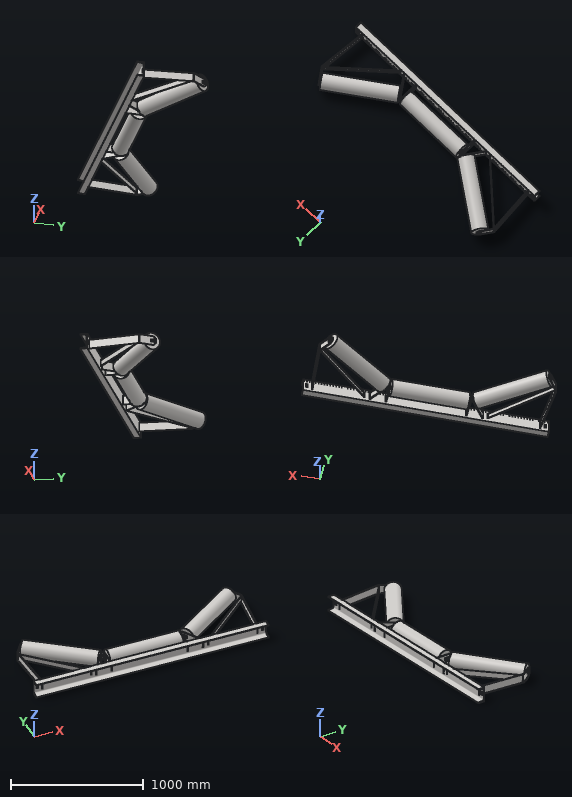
import cadquery as cq
import math


beam_length = 1900.0
beam_height = 120.0
flange_width = 55.0
web_thickness = 7.0
flange_thickness = 9.0
flange_slope = 0.08
root_radius = 9.0
tip_radius = 4.5
slot_width = 15.0
slot_height = 27.0
slot_end_distance = 28.0

roller_diameter = 133.0
roller_length = 597.0
shaft_diameter = 25.0
shaft_flats = 17.0
trough_angle = 35.0
level_center = (0.0, 118.0)
wing_center = (-600.0, 304.0)

plate_thickness = 6.6
plate_width = 70.0
level_gap = 10.0
wing_gap = 8.0
outer_tip_height = 30.0
outer_bend_depth = 106.0
outer_bend_radius = 10.0
outer_foot_x = -884.0
outer_tip_chamfer = 23.0
bridge_height = 160.0
bridge_bend_radius = 2.0

brace_thickness = 4.8
brace_width = 50.0
brace_foot_x = -477.0

trim_overrun = 19.0

roller_end = roller_length / 2
level_near = roller_end + level_gap
level_far = level_near + plate_thickness
wing_near = roller_end + wing_gap
wing_far = wing_near + plate_thickness

shaft_bottom = -shaft_diameter / 2
slot_top = roller_diameter / 2

tilt = math.radians(trough_angle)


def wing_point(along, across):
    """XY point beside the left wing roller: along its axis toward the middle, across it away from the beam."""
    x = wing_center[0] + along * math.cos(tilt) + across * math.sin(tilt)
    y = wing_center[1] - along * math.sin(tilt) + across * math.cos(tilt)
    return (x, y)


def prism(points, width):
    """XY outline extruded evenly to both sides of Z = 0."""
    return cq.Workplane("XY", origin=(0, 0, -width / 2)).polyline(points).close().extrude(width)


def mitred_offset(path, distance):
    """Path moved to its right by a distance, with its corners kept sharp."""
    normals = []
    for (x0, y0), (x1, y1) in zip(path, path[1:]):
        length = math.hypot(x1 - x0, y1 - y0)
        normals.append(((y1 - y0) / length, (x0 - x1) / length))
    moved = []
    for i, (x, y) in enumerate(path):
        before = normals[max(i - 1, 0)]
        after = normals[min(i, len(normals) - 1)]
        reach = distance / (1 + before[0] * after[0] + before[1] * after[1])
        moved.append((x + reach * (before[0] + after[0]), y + reach * (before[1] + after[1])))
    return moved


def trim_at_beam(body):
    """Remove what lies below the back of the beam web."""
    below = cq.Workplane("XY").box(beam_length, 2 * trim_overrun, beam_height, centered=(True, False, True))
    return body.cut(below.translate((0, -2 * trim_overrun, 0)))


def bent_plate(path, bend_radius):
    """Plate on the right of its outer path, with rounded bends, standing on the beam."""
    inside = mitred_offset(path, plate_thickness)
    plate = prism(path + inside[::-1], plate_width)
    for corners, radius in ((path, bend_radius + plate_thickness), (inside, bend_radius)):
        for x, y in corners[1:-1]:
            plate = plate.edges(cq.selectors.NearestToPointSelector((x, y, 0))).fillet(radius)
    return trim_at_beam(plate)


def make_beam():
    half_height = beam_height / 2
    half_rise = flange_slope * flange_width / 2
    tip_z = half_height - flange_thickness + half_rise
    root_z = tip_z - flange_slope * (flange_width - web_thickness)
    beam = (
        cq.Workplane("YZ", origin=(-beam_length / 2, 0, 0))
        .polyline([
            (0, -half_height), (0, half_height),
            (-flange_width, half_height), (-flange_width, tip_z),
            (-web_thickness, root_z), (-web_thickness, -root_z),
            (-flange_width, -tip_z), (-flange_width, -half_height),
        ])
        .close()
        .extrude(beam_length)
    )
    for radius, y, z in ((root_radius, -web_thickness, root_z), (tip_radius, -flange_width, tip_z)):
        for side in (-1, 1):
            beam = beam.edges(cq.selectors.NearestToPointSelector((0, y, side * z))).fillet(radius)
    slot_x = beam_length / 2 - slot_end_distance
    slots = (
        cq.Workplane("XZ")
        .pushPoints([(-slot_x, 0), (slot_x, 0)])
        .rect(slot_width, slot_height)
        .extrude(web_thickness)
    )
    return beam.cut(slots)


def rod(diameter, length):
    """Cylinder along X, centred on the origin."""
    return cq.Workplane("YZ", origin=(-length / 2, 0, 0)).circle(diameter / 2).extrude(length)


def make_roller(center, angle, shaft_end):
    """Roller with flatted shaft ends that finish flush with the bracket plates."""
    shaft = rod(shaft_diameter, 2 * shaft_end)
    shaft = shaft.intersect(cq.Workplane("XY").box(2 * shaft_end, shaft_diameter, shaft_flats))
    roller = rod(roller_diameter, roller_length).union(shaft)
    return roller.rotate((0, 0, 0), (0, 0, 1), angle).translate((center[0], center[1], 0))


def below_beam_back(top, foot_x):
    """Point on the line from top through (foot_x, 0), carried past Y = 0 so that the end can be trimmed."""
    return (foot_x + (foot_x - top[0]) * trim_overrun / top[1], -trim_overrun)


def outer_bracket_path():
    """Outer face of the left bracket, from the foot over the bend to the free end."""
    bend = wing_point(-wing_far, -outer_bend_depth)
    return [below_beam_back(bend, outer_foot_x), bend, wing_point(-wing_far, outer_tip_height)]


def make_outer_bracket():
    """Left bracket: a leg from the beam, bent inward to hold the outer end of the wing roller."""
    bracket = bent_plate(outer_bracket_path(), outer_bend_radius)
    tip_x, tip_y = wing_point(-(wing_near + wing_far) / 2, outer_tip_height)
    for side in (-1, 1):
        corner = cq.selectors.NearestToPointSelector((tip_x, tip_y, side * plate_width / 2))
        bracket = bracket.edges(corner).chamfer(outer_tip_chamfer)
    slot = prism([
        wing_point(-wing_far, shaft_bottom), wing_point(-roller_end, shaft_bottom),
        wing_point(-roller_end, slot_top), wing_point(-wing_far, slot_top),
    ], shaft_flats)
    return bracket.cut(slot)


def make_inner_bracket():
    """Left inner bracket: two legs joined by a bridge, between the wing roller and the level roller."""
    wing_x, wing_y = wing_point(wing_near, 0)

    def wing_face(y):
        """Point at height y on the face toward the wing roller."""
        return (wing_x + (y - wing_y) * math.tan(tilt), y)

    bracket = bent_plate([
        wing_face(-trim_overrun), wing_face(bridge_height),
        (-level_near, bridge_height), (-level_near, -trim_overrun),
    ], bridge_bend_radius)

    slot_end = level_far + plate_thickness
    wing_slot = prism([
        wing_point(roller_end, shaft_bottom), wing_point(slot_end, shaft_bottom),
        wing_point(slot_end, slot_top), wing_point(roller_end, slot_top),
    ], shaft_flats)
    level_bottom = level_center[1] + shaft_bottom
    level_top = level_center[1] + slot_top
    level_slot = prism([
        (-roller_end, level_bottom), (-slot_end, level_bottom),
        (-slot_end, level_top), (-roller_end, level_top),
    ], shaft_flats)
    return bracket.cut(wing_slot).cut(level_slot)


def make_brace(bracket):
    """Left brace: a flat strip from the inside of the outer bend down to the beam."""
    top = mitred_offset(outer_bracket_path(), plate_thickness / 2)[1]
    path = [top, below_beam_back(top, brace_foot_x)]
    right_side = mitred_offset(path, brace_thickness / 2)
    left_side = mitred_offset(path, -brace_thickness / 2)
    return trim_at_beam(prism(right_side + left_side[::-1], brace_width)).cut(bracket)


beam = make_beam()
level_roller = make_roller(level_center, 0, level_far)
wing_roller = make_roller(wing_center, -trough_angle, wing_far)
outer_bracket = make_outer_bracket()
inner_bracket = make_inner_bracket()
brace = make_brace(outer_bracket)

bodies = [beam.solids().val(), level_roller.solids().val()]
for left_body in (wing_roller, outer_bracket, inner_bracket, brace):
    bodies += [left_body.solids().val(), left_body.mirror("YZ").solids().val()]

result = cq.Compound.makeCompound(bodies)